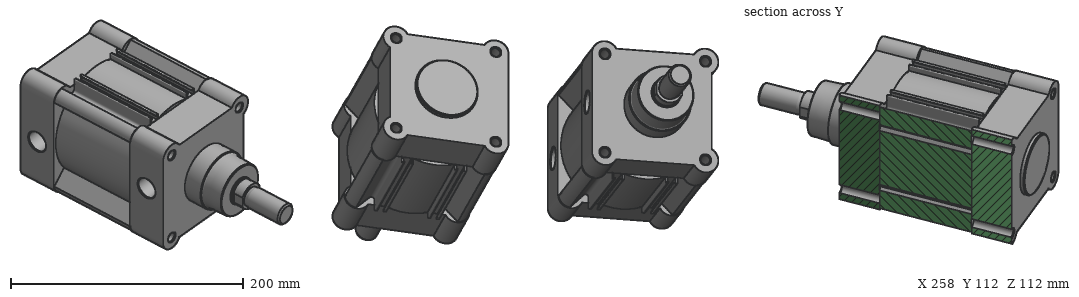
import cadquery as cq
import math


boss_height = 4.0
cap_length = 38.0
barrel_length = 86.5
rear_cap_x = boss_height
barrel_x = rear_cap_x + cap_length
front_cap_x = barrel_x + barrel_length
nose_x = front_cap_x + cap_length
collar_length = 18.3
nose_tip_x = 205.4
wiper_tip_x = 207.7
rod_shoulder_x = 218.0
rod_tip_x = 258.0

cap_size = 112.0
screw_spacing = 89.0
lug_center = screw_spacing / 2
port_face = cap_size / 2
lug_radius = port_face - lug_center
plain_face = 50.0
corners = [(y, z) for y in (-lug_center, lug_center) for z in (-lug_center, lug_center)]
boss_radius = 27.5
boss_chamfer = 1.0
screw_hole_radius = 4.0
screw_hole_chamfer = 0.9

port_radius = 9.5
port_chamfer = 0.8
port_depth = 20.0
port_inset = cap_length / 2
port_offset_z = 6.0

cone_base_radius = 25.5
cone_tip_radius = 24.8
cone_tip_chamfer = 0.8
collar_chamfer = 0.65
collar_fillet = 1.3
wiper_radius = 13.0
wiper_chamfer = 0.8

barrel_radius = 53.5
barrel_lug_radius = 10.8
lug_half_width = 7.0
rail_top = 55.5
slot_spacing = 47.5
slot_width = 7.2
mouth_width = 5.2
rail_width = 10.5
rail_rounding = 0.8
lip_height = 1.3
slot_floor = plain_face
valley_radius = 2.5

rod_radius = 24.5 / 2
flat_distance = 22.5 / 2
flat_start_x = 208.5
thread_radius = 19.9 / 2
neck_radius = 9.3
neck_length = 1.5
neck_taper = 2.3
thread_chamfer = 1.5


def revolve_about_x(profile):
    """Turn a closed profile of (x, radius) points about the cylinder axis."""
    return profile.close().revolve(360, (0, 0, 0), (1, 0, 0))


def cylinder_x(x, radius, length):
    return cq.Workplane("YZ").workplane(offset=x).circle(radius).extrude(length)


def make_cap_block(x, port_x, port_z):
    """Square cap with four corner lugs, screw holes and one air port."""
    section = cq.Workplane("YZ").workplane(offset=x)
    body = section.center((plain_face - lug_center) / 2, 0)
    body = body.rect(plain_face + lug_center, 2 * plain_face).extrude(cap_length)
    port_slab = section.center(-(lug_center + port_face) / 2, 0)
    port_slab = port_slab.rect(lug_radius, screw_spacing).extrude(cap_length)
    lugs = section.pushPoints(corners).circle(lug_radius).extrude(cap_length)
    cap = body.union(port_slab).union(lugs)

    holes = section.pushPoints(corners).circle(screw_hole_radius).extrude(cap_length)
    cap = cap.cut(holes)

    port = cq.Workplane("XY").lineTo(port_radius + port_chamfer, 0)
    port = port.lineTo(port_radius, port_chamfer).lineTo(port_radius, port_depth).lineTo(0, port_depth)
    port = port.close().revolve(360, (0, 0, 0), (0, 1, 0))
    return cap.cut(port.translate((port_x, -port_face, port_z)))


def chamfer_screw_holes(cap, outer_face_x, inward):
    """Countersink the screw holes at the outer end face of a cap."""
    mouth = cq.Workplane("XY").lineTo(0, screw_hole_radius + screw_hole_chamfer)
    mouth = mouth.lineTo(inward * screw_hole_chamfer, screw_hole_radius)
    mouth = revolve_about_x(mouth.lineTo(inward * screw_hole_chamfer, 0))
    for y, z in corners:
        cap = cap.cut(mouth.translate((outer_face_x, y, z)))
    return cap


def make_rear_cap():
    cap = make_cap_block(rear_cap_x, rear_cap_x + port_inset, -port_offset_z)
    cap = chamfer_screw_holes(cap, rear_cap_x, 1)
    boss = cylinder_x(0, boss_radius, boss_height).faces("<X").chamfer(boss_chamfer)
    return cap.union(boss)


def make_front_cap():
    cap = make_cap_block(front_cap_x, nose_x - port_inset, port_offset_z)
    cap = chamfer_screw_holes(cap, nose_x, -1)
    collar_end = nose_x + collar_length
    arc_mid = collar_fillet * (1 - math.sqrt(0.5))
    nose = (
        cq.Workplane("XY")
        .moveTo(nose_x, 0)
        .lineTo(nose_x, boss_radius)
        .lineTo(collar_end - collar_chamfer, boss_radius)
        .lineTo(collar_end, cone_base_radius + collar_fillet)
        .threePointArc((collar_end + arc_mid, cone_base_radius + arc_mid),
                       (collar_end + collar_fillet, cone_base_radius))
        .lineTo(nose_tip_x - cone_tip_chamfer, cone_tip_radius)
        .lineTo(nose_tip_x, cone_tip_radius - cone_tip_chamfer)
        .lineTo(nose_tip_x, wiper_radius)
        .lineTo(wiper_tip_x - wiper_chamfer, wiper_radius)
        .lineTo(wiper_tip_x, wiper_radius - wiper_chamfer)
        .lineTo(wiper_tip_x, 0)
    )
    return cap.union(revolve_about_x(nose))


def make_barrel():
    """Solid round profile with diagonal corner lugs and round-edged T-slot rails above and below."""
    slot_center = slot_spacing / 2
    inner_wall = slot_center - rail_width / 2
    outer_wall = slot_center + rail_width / 2
    slot_sides = (slot_center - slot_width / 2, slot_center + slot_width / 2)
    mouth_sides = (slot_center - mouth_width / 2, slot_center + mouth_width / 2)
    lip_bottom = rail_top - lip_height

    def on_barrel(y):
        return (y, math.sqrt(barrel_radius**2 - y**2))

    def from_diagonal(along, across):
        return ((along - across) * math.sqrt(0.5), (along + across) * math.sqrt(0.5))

    lug_axis = lug_center * math.sqrt(2)
    lug_edge = lug_axis + math.sqrt(barrel_lug_radius**2 - lug_half_width**2)
    lug_root = math.sqrt(barrel_radius**2 - lug_half_width**2)
    side_angle = (math.radians(45) - math.asin(lug_half_width / barrel_radius)) / 2

    valley_y = outer_wall + valley_radius
    valley_z = valley_y + (lug_half_width + valley_radius) * math.sqrt(2)
    valley_end = (valley_y + valley_radius * math.sqrt(0.5), valley_z - valley_radius * math.sqrt(0.5))
    valley_mid_angle = math.radians((180 + 315) / 2)
    valley_mid = (valley_y + valley_radius * math.cos(valley_mid_angle),
                  valley_z + valley_radius * math.sin(valley_mid_angle))

    quarter = (
        cq.Workplane("YZ").workplane(offset=barrel_x)
        .lineTo(0, barrel_radius)
        .threePointArc(on_barrel(inner_wall / 2), on_barrel(inner_wall))
        .lineTo(inner_wall, rail_top - rail_rounding)
        .tangentArcPoint((inner_wall + rail_rounding, rail_top), relative=False)
        .lineTo(mouth_sides[0] - rail_rounding, rail_top)
        .tangentArcPoint((mouth_sides[0], rail_top - rail_rounding), relative=False)
        .lineTo(mouth_sides[0], lip_bottom)
        .lineTo(slot_sides[0], lip_bottom)
        .lineTo(slot_sides[0], slot_floor)
        .lineTo(slot_sides[1], slot_floor)
        .lineTo(slot_sides[1], lip_bottom)
        .lineTo(mouth_sides[1], lip_bottom)
        .lineTo(mouth_sides[1], rail_top - rail_rounding)
        .tangentArcPoint((mouth_sides[1] + rail_rounding, rail_top), relative=False)
        .lineTo(outer_wall - rail_rounding, rail_top)
        .tangentArcPoint((outer_wall, rail_top - rail_rounding), relative=False)
        .lineTo(outer_wall, valley_z)
        .threePointArc(valley_mid, valley_end)
        .lineTo(*from_diagonal(lug_edge, lug_half_width))
        .threePointArc(from_diagonal(lug_axis + barrel_lug_radius, 0),
                       from_diagonal(lug_edge, -lug_half_width))
        .lineTo(*from_diagonal(lug_root, -lug_half_width))
        .threePointArc((barrel_radius * math.cos(side_angle), barrel_radius * math.sin(side_angle)),
                       (barrel_radius, 0))
        .close()
        .extrude(barrel_length)
    )
    half = quarter.union(quarter.mirror("XZ"))
    return half.union(half.mirror("XY")).clean()


def make_rod():
    neck_end = rod_shoulder_x + neck_length
    profile = (
        cq.Workplane("XY")
        .moveTo(wiper_tip_x, 0)
        .lineTo(wiper_tip_x, rod_radius)
        .lineTo(rod_shoulder_x, rod_radius)
        .lineTo(rod_shoulder_x, neck_radius)
        .lineTo(neck_end, neck_radius)
        .lineTo(neck_end + neck_taper, thread_radius)
        .lineTo(rod_tip_x - thread_chamfer, thread_radius)
        .lineTo(rod_tip_x, thread_radius - thread_chamfer)
        .lineTo(rod_tip_x, 0)
    )
    rod = revolve_about_x(profile)
    flat_length = rod_shoulder_x - flat_start_x
    for side in (-1, 1):
        flat = cq.Workplane("XY").box(flat_length, rod_radius, 2 * rod_radius, centered=(False, True, True))
        rod = rod.cut(flat.translate((flat_start_x, side * (flat_distance + rod_radius / 2), 0)))
    return rod


rear_cap = make_rear_cap()
barrel = make_barrel()
front_cap = make_front_cap()
rod = make_rod()

result = cq.Compound.makeCompound([rear_cap.val(), barrel.val(), front_cap.val(), rod.val()])